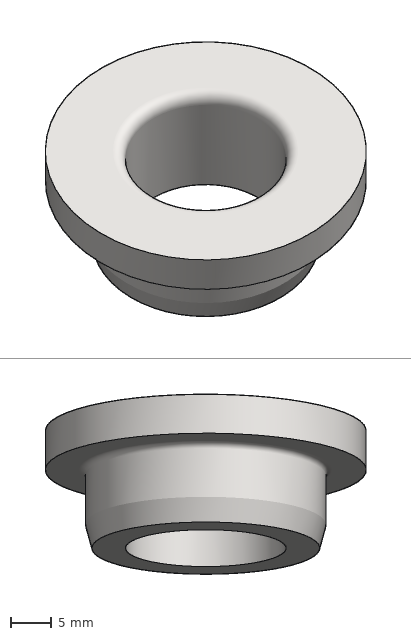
import cadquery as cq
import math

flange_diameter = 40.0
sleeve_diameter = 30.0
bore_diameter = 20.0
total_height = 15.0
flange_thickness = 5.0

bore_mouth_radius = 1.5
neck_fillet_radius = 0.75
lead_in_height = 3.0
lead_in_angle = math.radians(15)

flange_radius = flange_diameter / 2
sleeve_radius = sleeve_diameter / 2
bore_radius = bore_diameter / 2
flange_bottom = total_height - flange_thickness
tip_radius = sleeve_radius - lead_in_height * math.tan(lead_in_angle)

half_section = (
    cq.Workplane("XZ")
    .moveTo(bore_radius, 0)
    .lineTo(tip_radius, 0)
    .lineTo(sleeve_radius, lead_in_height)
    .lineTo(sleeve_radius, flange_bottom - neck_fillet_radius)
    .radiusArc((sleeve_radius + neck_fillet_radius, flange_bottom), neck_fillet_radius)
    .lineTo(flange_radius, flange_bottom)
    .lineTo(flange_radius, total_height)
    .lineTo(bore_radius + bore_mouth_radius, total_height)
    .radiusArc((bore_radius, total_height - bore_mouth_radius), -bore_mouth_radius)
    .close()
)

result = half_section.revolve(360, (0, 0, 0), (0, 1, 0))